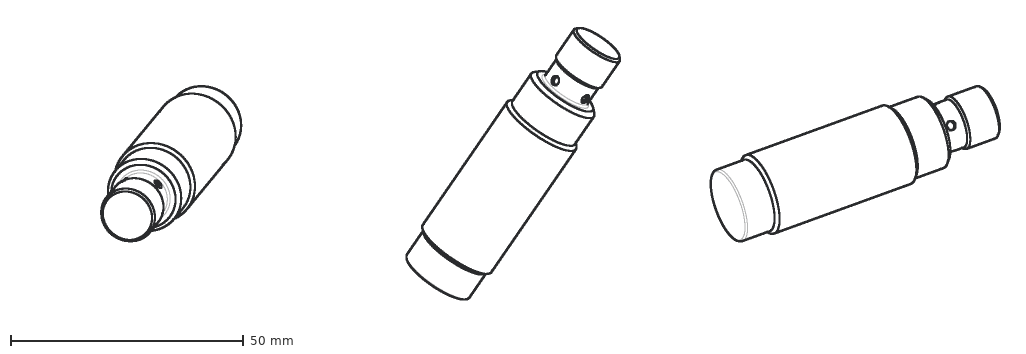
import cadquery as cq
import math

total_length = 63.5
front_y = -total_length / 2
rear_y = total_length / 2

barrel_radius = 9.0
shoulder_radius = 8.2
front_face_radius = 7.2
neck_radius = 5.5
cap_radius = 6.0

cap_length = 8.0
front_face_offset = 13.0
front_shoulder_length = 8.5
rear_shoulder_length = 7.0

cap_chamfer = cap_radius - neck_radius
front_face_chamfer = shoulder_radius - front_face_radius
barrel_chamfer = barrel_radius - shoulder_radius
neck_fillet = 0.5
rear_fillet = 0.4

hole_count = 4
first_hole_angle = 45.0
hole_radius = 1.0
hole_wall_depth = 0.9
dome_height = 0.7
hole_y = front_y + 11.0

diagonal = math.sqrt(0.5)


def turned_body():
    """Revolve the stepped half profile (radius, Y) about the Y axis."""
    cap_back_y = front_y + cap_length
    front_face_y = front_y + front_face_offset
    barrel_front_y = front_face_y + front_shoulder_length
    barrel_rear_y = rear_y - rear_shoulder_length

    neck_arc_radius = neck_radius + neck_fillet
    neck_arc_y = front_face_y - neck_fillet
    neck_arc_middle = (
        neck_arc_radius - neck_fillet * diagonal,
        neck_arc_y + neck_fillet * diagonal,
    )
    rear_arc_radius = shoulder_radius - rear_fillet
    rear_arc_y = rear_y - rear_fillet
    rear_arc_middle = (
        rear_arc_radius + rear_fillet * diagonal,
        rear_arc_y + rear_fillet * diagonal,
    )

    profile = (
        cq.Workplane("XY")
        .moveTo(0, front_y)
        .lineTo(cap_radius - cap_chamfer, front_y)
        .lineTo(cap_radius, front_y + cap_chamfer)
        .lineTo(cap_radius, cap_back_y - cap_chamfer)
        .lineTo(neck_radius, cap_back_y)
        .lineTo(neck_radius, neck_arc_y)
        .threePointArc(neck_arc_middle, (neck_arc_radius, front_face_y))
        .lineTo(front_face_radius, front_face_y)
        .lineTo(shoulder_radius, front_face_y + front_face_chamfer)
        .lineTo(shoulder_radius, barrel_front_y)
        .lineTo(barrel_radius, barrel_front_y + barrel_chamfer)
        .lineTo(barrel_radius, barrel_rear_y - barrel_chamfer)
        .lineTo(shoulder_radius, barrel_rear_y)
        .lineTo(shoulder_radius, rear_arc_y)
        .threePointArc(rear_arc_middle, (rear_arc_radius, rear_y))
        .lineTo(0, rear_y)
        .close()
    )
    return profile.revolve(360, (0, 0), (0, 1))


def neck_hole(angle):
    """Radial hole cutter with a domed floor, at an angle in degrees from +X toward +Z."""
    rim_x = neck_radius - hole_wall_depth
    dome_top_x = rim_x + dome_height
    outer_x = neck_radius + hole_wall_depth
    dome_radius = (hole_radius**2 + dome_height**2) / (2 * dome_height)
    dome_half_angle = math.asin(hole_radius / dome_radius) / 2
    dome_middle = (
        dome_top_x - dome_radius * (1 - math.cos(dome_half_angle)),
        dome_radius * math.sin(dome_half_angle),
    )
    cutter = (
        cq.Workplane("XY", origin=(0, hole_y, 0))
        .moveTo(dome_top_x, 0)
        .threePointArc(dome_middle, (rim_x, hole_radius))
        .lineTo(outer_x, hole_radius)
        .lineTo(outer_x, 0)
        .close()
        .revolve(360, (0, 0), (1, 0))
    )
    return cutter.rotate((0, 0, 0), (0, 1, 0), -angle)


result = turned_body()
for hole_index in range(hole_count):
    result = result.cut(neck_hole(first_hole_angle + hole_index * 360 / hole_count))